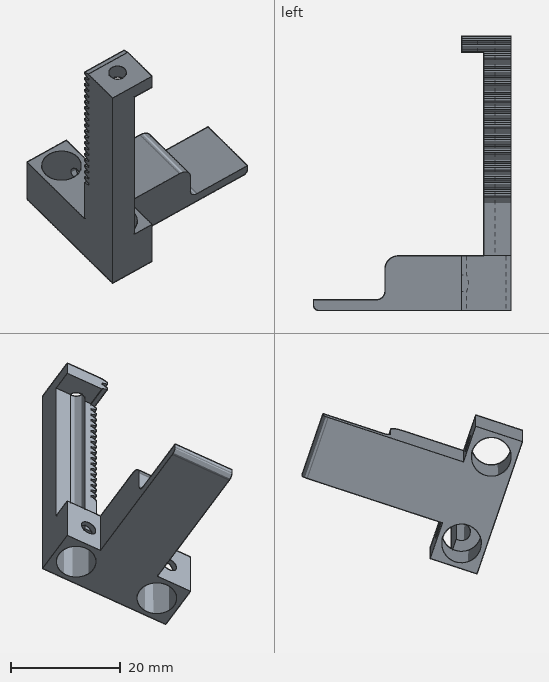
import cadquery as cq
import math

base_length = 26.0
base_depth = 9.0
base_height = 10.0

tongue_start = 7.0
tongue_width = 12.0
tongue_reach = 36.0
step_reach = 23.0
plate_thickness = 2.0
step_top_radius = 2.5
step_foot_radius = 1.5
plate_tip_radius = 1.0

total_height = 50.0
post_width = 8.5
post_depth = 5.0
head_height = 3.0
post_face = base_length - post_width

bore_inset = 4.5
bore_diameter = 7.2
bore_positions = (bore_inset, base_length - bore_inset)
side_hole_diameter = 3.0

post_hole_diameter = 3.2

rack_module = 0.5
pressure_angle = math.radians(20)
rack_pitch = math.pi * rack_module
addendum = rack_module
tooth_depth = 2.25 * rack_module
gap_count = 20
rack_start = 19.75


def box(x_start, length, depth, z_start, height):
    """Block whose front face lies on Y = 0."""
    return cq.Workplane("XY").box(length, depth, height, centered=False).translate((x_start, 0, z_start))


def tongue():
    """Stepped side profile, extruded across the width of the tongue."""
    profile = (
        cq.Workplane("YZ")
        .workplane(offset=tongue_start)
        .lineTo(tongue_reach - plate_tip_radius, 0)
        .radiusArc((tongue_reach, plate_tip_radius), -plate_tip_radius)
        .lineTo(tongue_reach, plate_thickness)
        .lineTo(step_reach + step_foot_radius, plate_thickness)
        .radiusArc((step_reach, plate_thickness + step_foot_radius), step_foot_radius)
        .lineTo(step_reach, base_height - step_top_radius)
        .radiusArc((step_reach - step_top_radius, base_height), -step_top_radius)
        .lineTo(0, base_height)
        .close()
    )
    return profile.extrude(tongue_width)


def post():
    shaft = box(post_face, post_width, post_depth, 0, total_height)
    head = box(post_face, post_width, base_depth, total_height - head_height, head_height)
    return shaft.union(head)


def rack_gaps():
    """Trapezoidal gaps between the teeth, cut across the full depth of the head."""
    flank_slope = math.tan(pressure_angle)
    half_mouth = rack_pitch / 4 + addendum * flank_slope
    half_root = half_mouth - tooth_depth * flank_slope
    root_face = post_face + tooth_depth
    gaps = cq.Workplane("XZ")
    for index in range(gap_count):
        middle = rack_start + half_mouth + index * rack_pitch
        gaps = gaps.polyline([
            (post_face, middle - half_mouth),
            (root_face, middle - half_root),
            (root_face, middle + half_root),
            (post_face, middle + half_mouth),
        ]).close()
    return gaps.extrude(-base_depth)


def vertical_hole(x_position, diameter, height):
    return cq.Workplane("XY").center(x_position, bore_inset).circle(diameter / 2).extrude(height)


def side_hole(x_position):
    """Hole at half the base height, from the bore axis out through the +Y face."""
    start = cq.Workplane("XZ", origin=(x_position, bore_inset, base_height / 2))
    return start.circle(side_hole_diameter / 2).extrude(bore_inset - base_depth)


result = (
    box(0, base_length, base_depth, 0, base_height)
    .union(tongue())
    .union(post())
    .cut(rack_gaps())
    .cut(vertical_hole(base_length - bore_inset, post_hole_diameter, total_height))
)
for bore_x in bore_positions:
    result = result.cut(vertical_hole(bore_x, bore_diameter, base_height)).cut(side_hole(bore_x))